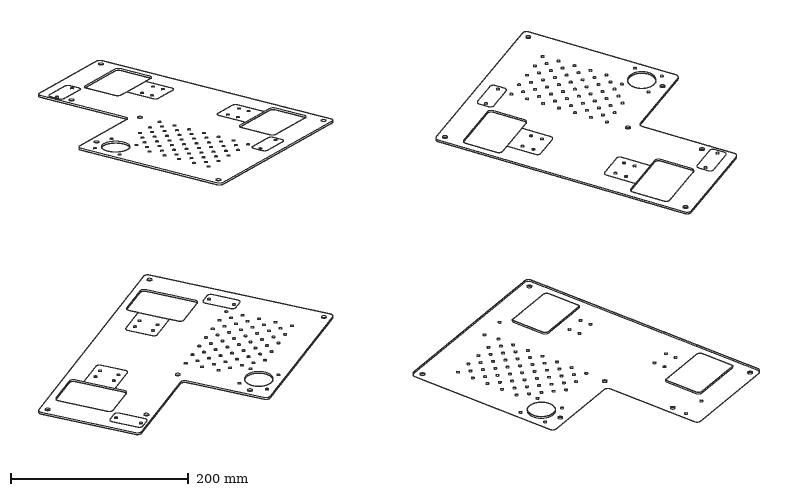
import cadquery as cq

LENGTH = 320.0
WIDTH = 230.0
THICKNESS = 2.5
CORNER_RADIUS = 5.0
HALF_LENGTH = LENGTH / 2
HALF_WIDTH = WIDTH / 2
NOTCH_X = -35.0
NOTCH_Y = -10.0

SMALL_HOLE_RADIUS = 1.7
SMALL_HOLE = 2 * SMALL_HOLE_RADIUS
SCREW_HOLE = 5.5
SCREW_INSET = 9.0
INNER_SCREW_Y = -1.0
NOTCH_SCREW_X = -26.0
ARM_SCREW_X = -119.0

WINDOW_INNER_X = 80.5
WINDOW_LENGTH = 48.5
WINDOW_WIDTH = 69.5
WINDOW_Y = 72.0
WINDOW_RADIUS = 4.8

RECESS_DEPTH = 0.2
RECESS_RADIUS = 4.0
HINGE_LENGTH = 40.3
HINGE_WIDTH = 38.0
HINGE_Y = 72.0
HINGE_HOLE_X = 58.2
HINGE_HOLE_PITCH_X = 13.5
HINGE_HOLE_PITCH_Y = 22.0

LATCH_X = 138.0
LATCH_Y = 13.0
LATCH_LENGTH = 20.0
LATCH_WIDTH = 39.7
LATCH_HOLE_PITCH = 30.5

FAN_Y = -89.0
FAN_DIAMETER = 32.0
FAN_HOLE_PITCH = 33.5

VENT_PITCH = LENGTH / 16
VENT_COLUMNS = 7
VENT_ROWS = 9
VENT_CLEAR_ROW = 6


def plate():
    outline = [
        (-HALF_LENGTH, HALF_WIDTH),
        (HALF_LENGTH, HALF_WIDTH),
        (HALF_LENGTH, -HALF_WIDTH),
        (NOTCH_X, -HALF_WIDTH),
        (NOTCH_X, NOTCH_Y),
        (-HALF_LENGTH, NOTCH_Y),
    ]
    body = cq.Workplane("XY").polyline(outline).close().extrude(THICKNESS)
    return body.edges("|Z").fillet(CORNER_RADIUS)


def rounded_block(length, width, radius, center, depth):
    """Block with rounded vertical edges, reaching down by depth from the top face."""
    block = cq.Workplane("XY", origin=(*center, THICKNESS - depth)).rect(length, width).extrude(depth)
    return block.edges("|Z").fillet(radius)


def round_cutters(points, diameter):
    return cq.Workplane("XY").pushPoints(points).circle(diameter / 2).extrude(THICKNESS)


def grid(center, pitch_x, pitch_y):
    """Four points around a centre."""
    x, y = center
    return [(x + i * pitch_x / 2, y + j * pitch_y / 2) for i in (-1, 1) for j in (-1, 1)]


def vent_points():
    points = []
    for row in range(VENT_ROWS):
        shifted = row % 2
        first = max(0, (row - VENT_CLEAR_ROW) // 2 + 1)
        for column in range(first, VENT_COLUMNS - shifted):
            points.append(((column + shifted / 2) * VENT_PITCH, -row * VENT_PITCH / 2))
    return points


def window(side):
    center = (side * (WINDOW_INNER_X + WINDOW_LENGTH / 2), WINDOW_Y)
    return rounded_block(WINDOW_LENGTH, WINDOW_WIDTH, WINDOW_RADIUS, center, THICKNESS)


def hinge_recess(side):
    length = HINGE_LENGTH + WINDOW_LENGTH / 2
    center_x = WINDOW_INNER_X - HINGE_LENGTH + length / 2
    return rounded_block(length, HINGE_WIDTH, RECESS_RADIUS, (side * center_x, HINGE_Y), RECESS_DEPTH)


def latch_recess(side):
    return rounded_block(LATCH_LENGTH, LATCH_WIDTH, RECESS_RADIUS, (side * LATCH_X, LATCH_Y), RECESS_DEPTH)


small_points = vent_points() + grid((0, FAN_Y), FAN_HOLE_PITCH, FAN_HOLE_PITCH)
result = plate()
for side in (-1, 1):
    result = result.cut(window(side)).cut(hinge_recess(side)).cut(latch_recess(side))
    small_points += grid((side * HINGE_HOLE_X, HINGE_Y), HINGE_HOLE_PITCH_X, HINGE_HOLE_PITCH_Y)
    for end in (-1, 1):
        small_points.append((side * LATCH_X, LATCH_Y + end * LATCH_HOLE_PITCH / 2))

corner_x = HALF_LENGTH - SCREW_INSET
corner_y = HALF_WIDTH - SCREW_INSET
screw_points = [
    (-corner_x, corner_y),
    (corner_x, corner_y),
    (corner_x, -corner_y),
    (ARM_SCREW_X, INNER_SCREW_Y),
    (NOTCH_SCREW_X, INNER_SCREW_Y),
    (NOTCH_SCREW_X, FAN_Y),
]
result = result.cut(round_cutters(small_points, SMALL_HOLE))
result = result.cut(round_cutters(screw_points, SCREW_HOLE))
result = result.cut(round_cutters([(0, FAN_Y)], FAN_DIAMETER))